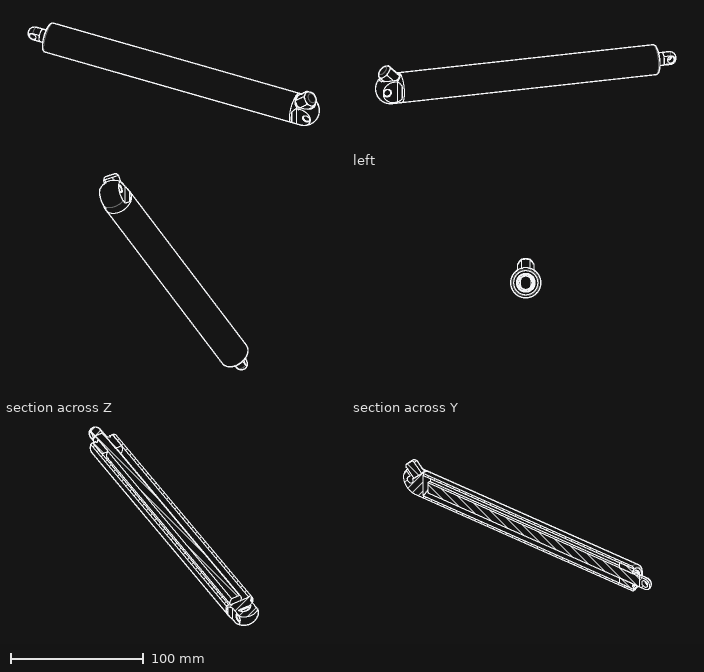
import cadquery as cq
import math

overall_length = 236.0
outer_diameter = 23.0
outer_radius = outer_diameter / 2

rod_diameter = 10.0
rod_radius = rod_diameter / 2
rod_end_x = 212.5
eye_width = 7.5
eye_length = 10.5
eye_hole_diameter = 5.2

tube_start_x = 15.3
tube_end_x = 217.1
tube_bore_diameter = 18.2
tube_lip_radius = 1.7
gland_length = 14.2
gland_recess_diameter = 14.2
gland_recess_depth = 1.2
lip_base_diameter = 12.7
lip_tip_diameter = 10.9

ball_center_x = overall_length - outer_radius
cap_width = 16.0
shoulder_x = 218.5
shoulder_half_width = 10.1
flat_start_x = 221.4
cap_hole_x = 229.5
cap_hole_diameter = 5.2
cap_hole_chamfer = 0.5

fitting_tilt = 45.0
fitting_base_x = 222.3
fitting_base_z = 6.8
hex_across_flats = 11.0
hex_length = 10.0
nose_radius = 2.0
fitting_seat_diameter = 14.2


def x_cylinder(diameter, start_x, end_x):
    """Solid cylinder on the main axis."""
    return cq.Workplane("YZ", origin=(start_x, 0, 0)).circle(diameter / 2).extrude(end_x - start_x)


def cross_hole(diameter, x):
    """Cutter for a hole parallel to Y through the main axis."""
    return cq.Workplane("XZ", origin=(x, 0, 0)).circle(diameter / 2).extrude(outer_radius, both=True)


def fitting_plane():
    """Plane of the fitting base; its normal is the fitting axis."""
    tilt = math.radians(fitting_tilt)
    return cq.Plane(
        origin=(fitting_base_x, 0, fitting_base_z),
        xDir=(0, 1, 0),
        normal=(math.sin(tilt), 0, math.cos(tilt)),
    )


def make_eye():
    """Domed rod eye with two flats, butted against the end of the rod."""
    dome = cq.Workplane("XY").sphere(rod_radius).translate((rod_radius, 0, 0))
    eye = x_cylinder(rod_diameter, rod_radius, eye_length).union(dome)
    flats = cq.Workplane("XY").box(eye_length, eye_width, rod_diameter, centered=(False, True, True))
    return eye.intersect(flats).cut(cross_hole(eye_hole_diameter, rod_radius))


def make_rod():
    """Plain rod running from the eye into the tube."""
    return x_cylinder(rod_diameter, eye_length, rod_end_x)


def make_tube():
    """Tube with a rounded lip at the rod end."""
    tube = x_cylinder(outer_diameter, tube_start_x, tube_end_x).faces("<X").edges().fillet(tube_lip_radius)
    return tube.cut(x_cylinder(tube_bore_diameter, tube_start_x, tube_end_x))


def make_gland():
    """Rod guide set flush in the tube: a round recess in its face leaves a conical lip around the rod."""
    gland = x_cylinder(tube_bore_diameter, tube_start_x, tube_start_x + gland_length)
    lip = (
        cq.Workplane("YZ", origin=(tube_start_x, 0, 0))
        .circle(lip_tip_diameter / 2)
        .workplane(offset=gland_recess_depth)
        .circle(lip_base_diameter / 2)
        .loft(combine=False)
    )
    recess = x_cylinder(gland_recess_diameter, tube_start_x, tube_start_x + gland_recess_depth).cut(lip)
    rod_bore = x_cylinder(rod_diameter, tube_start_x, tube_start_x + gland_length)
    return gland.cut(recess).cut(rod_bore)


def make_end_cap():
    """Ball-ended cap with two flats, a cross hole and a round seat for the fitting."""
    cap = x_cylinder(outer_diameter, tube_end_x, ball_center_x)
    ball = cq.Workplane("XY").sphere(outer_radius).translate((ball_center_x, 0, 0))
    cap = cap.union(ball.intersect(x_cylinder(outer_diameter, tube_end_x, overall_length)))
    half_width = cap_width / 2
    side_cut = (
        cq.Workplane("XY")
        .moveTo(shoulder_x, outer_radius)
        .lineTo(shoulder_x, shoulder_half_width)
        .lineTo(flat_start_x, half_width)
        .lineTo(overall_length, half_width)
        .lineTo(overall_length, outer_radius)
        .close()
        .extrude(outer_radius, both=True)
    )
    cap = cap.cut(side_cut).cut(side_cut.mirror("XZ"))
    seat = cq.Workplane(fitting_plane()).circle(fitting_seat_diameter / 2).extrude(hex_length)
    cap = cap.cut(seat).cut(cross_hole(cap_hole_diameter, cap_hole_x))
    hole_rims = cap.edges(
        cq.selectors.BoxSelector(
            (cap_hole_x - cap_hole_diameter, -outer_radius, -cap_hole_diameter),
            (cap_hole_x + cap_hole_diameter, outer_radius, cap_hole_diameter),
        )
    ).edges(cq.selectors.RadiusNthSelector(0))
    return hole_rims.chamfer(cap_hole_chamfer)


def make_fitting():
    """Hexagonal body with a rounded nose; two hexagon corners point along Y."""
    across_corners = hex_across_flats / math.cos(math.pi / 6)
    base = fitting_plane()
    body = cq.Workplane(base).polygon(6, across_corners).extrude(hex_length)
    nose = cq.Workplane(base).circle(hex_across_flats / 2).extrude(hex_length + nose_radius)
    nose = nose.faces(cq.selectors.DirectionMinMaxSelector(base.zDir)).edges().fillet(nose_radius)
    return body.union(nose)


eye = make_eye()
rod = make_rod()
tube = make_tube()
gland = make_gland()
end_cap = make_end_cap()
fitting = make_fitting()

result = cq.Compound.makeCompound(
    [eye.val(), rod.val(), tube.val(), gland.val(), end_cap.val(), fitting.val()]
)